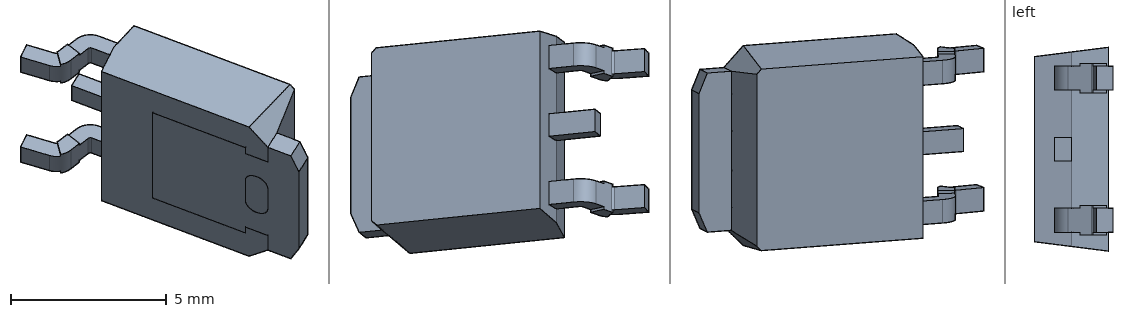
import cadquery as cq
import math


housing_height = 2.39
parting_height = 1.19
housing_width = 6.54
housing_top_width = 5.94
housing_start = 2.72
start_taper = 0.14
housing_end = 8.79
housing_top_end = 8.58

tab_thickness = 0.66
tab_start = 4.68
tab_end = 9.9
tab_pad_width = 4.32
tab_neck_start = 7.99
tab_neck_width = 3.72
tab_head_width = 5.21
tab_corner_length = 0.29
tab_tip_width = 3.9
slot_length = 1.81

lead_thickness = 0.54
middle_lead_tip = 1.22
middle_lead_width = 0.75
outer_lead_width = 0.77
outer_lead_wide_width = 0.95
outer_lead_offset = 2.28
foot_length = 0.99
leg_length = 0.79
leg_narrow_length = 0.4
inner_bend_radius = 0.1
outer_bend_radius = inner_bend_radius + lead_thickness
leg_lean = math.radians(19)
foot_droop = math.radians(5)


def polar(center, radius, angle):
    """Point at a distance and direction from a center."""
    return (center[0] + radius * math.cos(angle), center[1] + radius * math.sin(angle))


def extrude_centered(profile, width):
    """Extrude an XY profile equally to both sides of Z = 0."""
    return profile.extrude(width / 2, both=True)


def mirrored_plan(half_outline, height):
    """Plate with a plan symmetric about Z = 0, from y = 0 up to the given height."""
    other_half = [(x, -z) for x, z in reversed(half_outline)]
    return cq.Workplane("XZ").polyline(half_outline + other_half).close().extrude(-height)


def make_tab():
    plate = mirrored_plan(
        [
            (tab_start, tab_pad_width / 2),
            (tab_neck_start, tab_pad_width / 2),
            (tab_neck_start, tab_neck_width / 2),
            (housing_end, tab_neck_width / 2),
            (housing_end, tab_head_width / 2),
            (tab_end - tab_corner_length, tab_head_width / 2),
            (tab_end, tab_tip_width / 2),
        ],
        tab_thickness,
    )
    slot_width = housing_end - tab_neck_start
    slot = (
        cq.Workplane("XZ")
        .center((tab_neck_start + housing_end) / 2, 0)
        .slot2D(slot_length, slot_width, 90)
        .extrude(-tab_thickness)
    )
    return plate.cut(slot)


def make_housing(tab):
    side_profile = cq.Workplane("XY").polyline([
        (housing_start + start_taper, 0),
        (housing_end, 0),
        (housing_end, tab_thickness),
        (housing_top_end, housing_height),
        (housing_start + start_taper, housing_height),
        (housing_start, parting_height),
    ]).close()
    block = extrude_centered(side_profile, housing_width)

    cross_section = cq.Workplane("YZ").polyline([
        (0, -housing_width / 2),
        (housing_height, -housing_top_width / 2),
        (housing_height, housing_top_width / 2),
        (0, housing_width / 2),
    ]).close().extrude(housing_end)

    corner_leg = (housing_width - tab_head_width) / 2
    plan = mirrored_plan(
        [
            (housing_start, housing_width / 2),
            (housing_end - corner_leg, housing_width / 2),
            (housing_end, tab_head_width / 2),
        ],
        housing_height,
    )
    return block.intersect(cross_section).intersect(plan).cut(tab)


def make_middle_lead(housing):
    profile = cq.Workplane("XY").polyline([
        (middle_lead_tip, parting_height),
        (housing_start + start_taper, parting_height),
        (housing_start + start_taper, parting_height + lead_thickness),
        (middle_lead_tip, parting_height + lead_thickness),
    ]).close()
    return extrude_centered(profile, middle_lead_width).cut(housing)


def make_outer_lead(housing, offset):
    upper_leg_side = math.pi - leg_lean
    upper_middle = (upper_leg_side + math.pi / 2) / 2
    lower_leg_side = -leg_lean
    lower_foot_side = foot_droop - math.pi / 2
    lower_middle = (lower_leg_side + lower_foot_side) / 2

    lower_x = foot_length * math.cos(foot_droop) - inner_bend_radius * math.sin(foot_droop)
    center_spread = inner_bend_radius + outer_bend_radius
    rise_x = center_spread * math.cos(leg_lean) + leg_length * math.sin(leg_lean)
    rise_y = leg_length * math.cos(leg_lean) - center_spread * math.sin(leg_lean)
    upper = (lower_x + rise_x, parting_height - inner_bend_radius)
    lower = (lower_x, upper[1] - rise_y)

    def foot_tip(radius):
        start = polar(lower, radius, lower_foot_side)
        return polar(start, foot_length, math.pi + foot_droop)

    root_x = housing_start + start_taper
    strip_profile = (
        cq.Workplane("XY")
        .moveTo(root_x, parting_height + lead_thickness)
        .lineTo(*polar(upper, outer_bend_radius, math.pi / 2))
        .threePointArc(
            polar(upper, outer_bend_radius, upper_middle),
            polar(upper, outer_bend_radius, upper_leg_side),
        )
        .lineTo(*polar(lower, inner_bend_radius, lower_leg_side))
        .threePointArc(
            polar(lower, inner_bend_radius, lower_middle),
            polar(lower, inner_bend_radius, lower_foot_side),
        )
        .lineTo(*foot_tip(inner_bend_radius))
        .lineTo(*foot_tip(outer_bend_radius))
        .lineTo(*polar(lower, outer_bend_radius, lower_foot_side))
        .threePointArc(
            polar(lower, outer_bend_radius, lower_middle),
            polar(lower, outer_bend_radius, lower_leg_side),
        )
        .lineTo(*polar(upper, inner_bend_radius, upper_leg_side))
        .threePointArc(
            polar(upper, inner_bend_radius, upper_middle),
            polar(upper, inner_bend_radius, math.pi / 2),
        )
        .lineTo(root_x, parting_height)
        .close()
    )

    lower_quarter = (lower_leg_side + lower_middle) / 2
    leg_down = -math.pi / 2 - leg_lean
    wide_inner_start = polar(
        polar(upper, outer_bend_radius, upper_leg_side), leg_narrow_length, leg_down
    )
    wide_outer_start = polar(
        polar(upper, inner_bend_radius, upper_leg_side), leg_narrow_length, leg_down
    )
    wide_profile = (
        cq.Workplane("XY")
        .moveTo(*wide_inner_start)
        .lineTo(*polar(lower, inner_bend_radius, lower_leg_side))
        .threePointArc(
            polar(lower, inner_bend_radius, lower_quarter),
            polar(lower, inner_bend_radius, lower_middle),
        )
        .lineTo(*polar(lower, outer_bend_radius, lower_middle))
        .threePointArc(
            polar(lower, outer_bend_radius, lower_quarter),
            polar(lower, outer_bend_radius, lower_leg_side),
        )
        .lineTo(*wide_outer_start)
        .close()
    )

    strip = extrude_centered(strip_profile, outer_lead_width)
    wide_section = extrude_centered(wide_profile, outer_lead_wide_width)
    return strip.union(wide_section).translate((0, 0, offset)).cut(housing)


tab = make_tab()
housing = make_housing(tab)
middle_lead = make_middle_lead(housing)
outer_leads = [
    make_outer_lead(housing, side * outer_lead_offset).val()
    for side in (-1, 1)
]

result = cq.Compound.makeCompound([housing.val(), tab.val(), middle_lead.val(), *outer_leads])